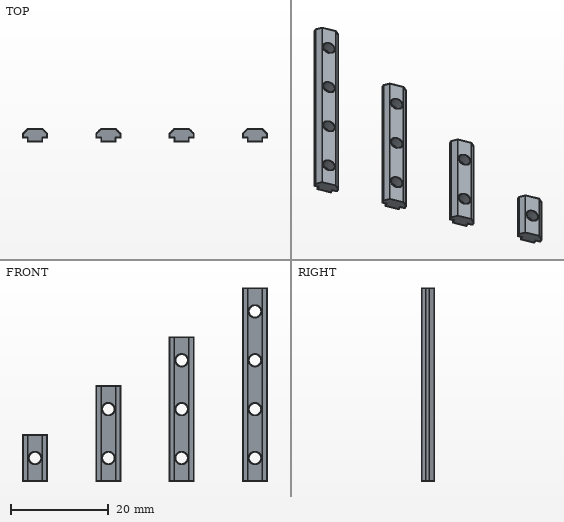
import cadquery as cq

strip_width = 5.0
neck_width = 3.0
back_width = 3.0
depth = 2.6
neck_depth = 0.8
chamfer_depth = 1.0

hole_pitch = 10.0
end_gap = 0.5
hole_diameter = 2.5

strip_count = 4
strip_spacing = 15.0


def strip_profile():
    """Closed T-shaped section, centred on X, with its front face at Y = 0."""
    half_neck = neck_width / 2
    half_back = back_width / 2
    half_strip = strip_width / 2
    shoulder_y = depth - chamfer_depth
    return cq.Workplane("XY").polyline([
        (-half_neck, 0),
        (half_neck, 0),
        (half_neck, neck_depth),
        (half_strip, neck_depth),
        (half_strip, shoulder_y),
        (half_back, depth),
        (-half_back, depth),
        (-half_strip, shoulder_y),
        (-half_strip, neck_depth),
        (-half_neck, neck_depth),
    ]).close()


def screw_holes(hole_count):
    """Cutters along Y, one in the middle of each pitch of the strip."""
    first_hole_z = (hole_pitch - end_gap) / 2
    centres = [(0, first_hole_z + i * hole_pitch) for i in range(hole_count)]
    return cq.Workplane("XZ").pushPoints(centres).circle(hole_diameter / 2).extrude(-depth)


def slot_nut_strip(hole_count):
    """One strip standing on Z = 0, long enough for its holes."""
    length = hole_count * hole_pitch - end_gap
    return strip_profile().extrude(length).cut(screw_holes(hole_count))


strips = []
for index in range(strip_count):
    strip = slot_nut_strip(index + 1).translate((index * strip_spacing, 0, 0))
    strips.append(strip.val())

result = cq.Compound.makeCompound(strips)